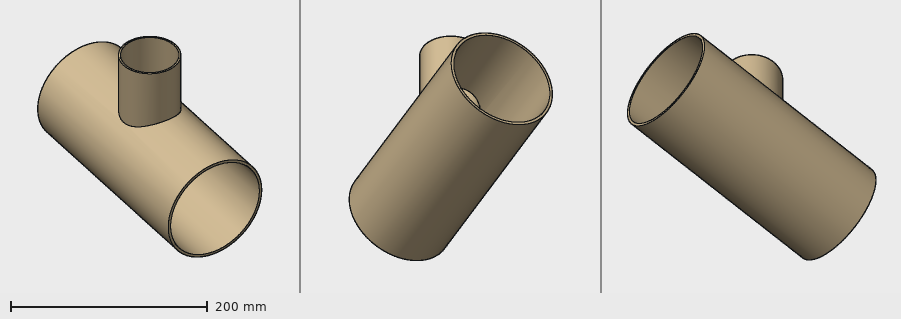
import cadquery as cq

RUN_LENGTH = 240.0
RUN_OUTER_DIAMETER = 114.3
RUN_WALL = 3.0
RUN_BORE_DIAMETER = RUN_OUTER_DIAMETER - 2 * RUN_WALL

BRANCH_HEIGHT = 120.0
BRANCH_OUTER_DIAMETER = 63.5
BRANCH_WALL = 2.0
BRANCH_BORE_DIAMETER = BRANCH_OUTER_DIAMETER - 2 * BRANCH_WALL


def run_cylinder(diameter):
    """Cylinder along X with the full length of the main pipe."""
    return cq.Workplane("YZ").circle(diameter / 2).extrude(RUN_LENGTH / 2, both=True)


def branch_cylinder(diameter):
    """Cylinder along Z from the main pipe axis to the branch end."""
    return cq.Workplane("XY").circle(diameter / 2).extrude(BRANCH_HEIGHT)


outer_body = run_cylinder(RUN_OUTER_DIAMETER).union(branch_cylinder(BRANCH_OUTER_DIAMETER))
run_bore = run_cylinder(RUN_BORE_DIAMETER)
branch_bore = branch_cylinder(BRANCH_BORE_DIAMETER)

result = outer_body.cut(run_bore).cut(branch_bore)